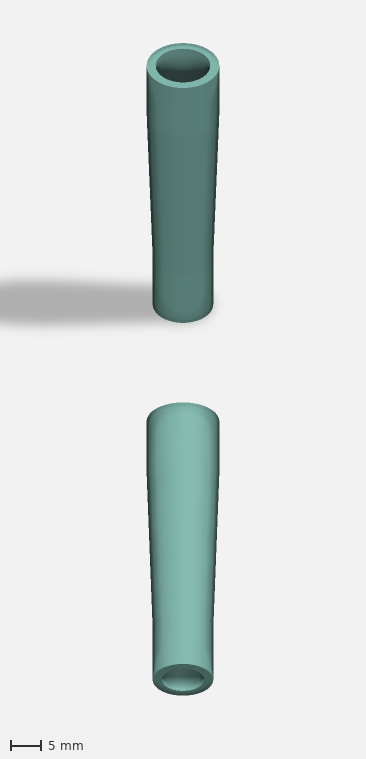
import cadquery as cq

total_length = 50.0
socket_length = 10.0
upper_outer_diameter = 12.0
upper_bore_diameter = 9.0
lower_outer_diameter = 10.0
lower_bore_diameter = 7.0

taper_bottom = socket_length
taper_top = total_length - socket_length


def stepped_taper(lower_diameter, upper_diameter):
    """Solid of revolution about Z: straight ends joined by a cone."""
    lower_radius = lower_diameter / 2
    upper_radius = upper_diameter / 2
    profile = (
        cq.Workplane("XZ")
        .moveTo(0, 0)
        .lineTo(lower_radius, 0)
        .lineTo(lower_radius, taper_bottom)
        .lineTo(upper_radius, taper_top)
        .lineTo(upper_radius, total_length)
        .lineTo(0, total_length)
        .close()
    )
    return profile.revolve(360, (0, 0, 0), (0, 1, 0))


outer_body = stepped_taper(lower_outer_diameter, upper_outer_diameter)
bore = stepped_taper(lower_bore_diameter, upper_bore_diameter)
result = outer_body.cut(bore)